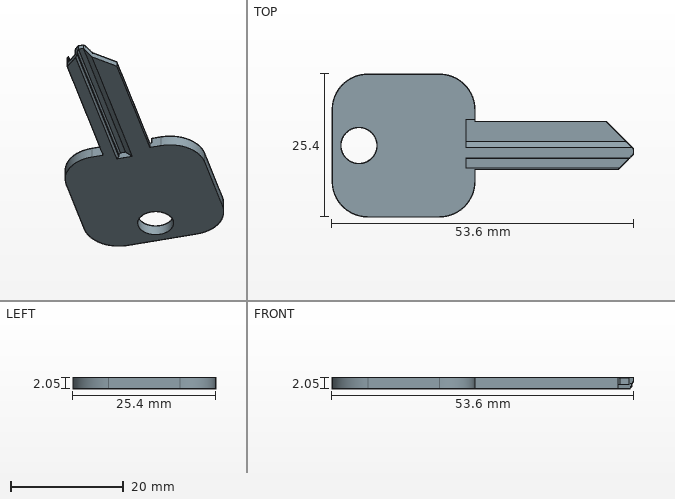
import cadquery as cq

length = 53.6
thickness = 2.05

head_size = 25.4
corner_radius = head_size / 4
hole_diameter = 6.4
hole_x = 4.75

blade_half_width = 4.3
tip_upper_y = -0.6
tip_lower_y = -1.5

groove_start_x = head_size - 1.6
wide_groove_depth = 1.0
wide_groove_slope_width = 1.05
wide_groove_top_y = 4.6
ridge_upper_y = -0.4
narrow_groove_depth = 1.25
narrow_groove_lower_y = -3.95
ridge_lower_y = -2.2
ridge_bevel = 0.135

under_floor_z = 1.25
under_step_z = 0.45
under_bevel = 0.3
under_mouth_y = -2.2


def make_head():
    plate = cq.Workplane("XY").rect(head_size, head_size).extrude(thickness)
    plate = plate.edges("|Z").fillet(corner_radius).translate((head_size / 2, 0, 0))
    hole = cq.Workplane("XY").center(hole_x, 0).circle(hole_diameter / 2).extrude(thickness)
    return plate.cut(hole)


def make_blade():
    upper_shoulder_x = length - (blade_half_width - tip_upper_y)
    lower_shoulder_x = length - (blade_half_width + tip_lower_y)
    outline = [
        (groove_start_x, -blade_half_width),
        (lower_shoulder_x, -blade_half_width),
        (length, tip_lower_y),
        (length, tip_upper_y),
        (upper_shoulder_x, blade_half_width),
        (groove_start_x, blade_half_width),
    ]
    return cq.Workplane("XY").polyline(outline).close().extrude(thickness)


def groove(section):
    """Sweep a (Y, Z) section along the blade from the groove start to the tip."""
    plane = cq.Workplane("YZ", origin=(groove_start_x, 0, 0))
    return plane.polyline(section).close().extrude(length - groove_start_x)


def wide_groove():
    floor_z = thickness - wide_groove_depth
    return groove([
        (ridge_upper_y, thickness),
        (ridge_upper_y + wide_groove_slope_width, floor_z),
        (wide_groove_top_y, floor_z),
        (wide_groove_top_y, thickness),
    ])


def narrow_groove():
    floor_z = thickness - narrow_groove_depth
    wall_y = ridge_lower_y - ridge_bevel
    return groove([
        (narrow_groove_lower_y, thickness),
        (narrow_groove_lower_y, floor_z),
        (wall_y, floor_z),
        (wall_y, thickness - ridge_bevel),
        (ridge_lower_y, thickness),
    ])


def underside_groove():
    step_y = tip_lower_y - under_bevel
    return groove([
        (under_mouth_y, 0),
        (step_y, under_step_z),
        (step_y, under_floor_z - under_bevel),
        (tip_lower_y, under_floor_z),
        (tip_upper_y, under_floor_z),
        (tip_upper_y + under_floor_z, 0),
    ])


result = make_head().union(make_blade())
for cutter in (wide_groove(), narrow_groove(), underside_groove()):
    result = result.cut(cutter)